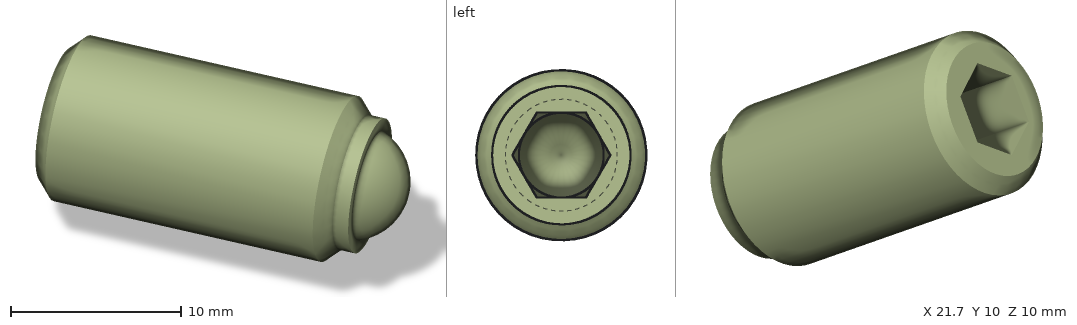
import cadquery as cq
import math

total_length = 21.7
body_diameter = 10.0
body_length = 18.42
chamfer = 0.93

collar_length = 0.95
collar_diameter = body_diameter - 2 * chamfer
ball_radius = 3.5

socket_across_flats = 5.0
socket_depth = 5.0
drill_point_angle = 120.0


def make_screw():
    """Chamfered body, collar and ball, revolved about X from one half outline."""
    body_radius = body_diameter / 2
    end_radius = body_radius - chamfer
    collar_radius = collar_diameter / 2
    collar_end = body_length + collar_length
    ball_center = total_length - ball_radius

    exit_angle = math.acos((collar_end - ball_center) / ball_radius)
    exit_radius = ball_radius * math.sin(exit_angle)
    arc_middle = (
        ball_center + ball_radius * math.cos(exit_angle / 2),
        ball_radius * math.sin(exit_angle / 2),
    )
    return (
        cq.Workplane("XY")
        .lineTo(0, end_radius)
        .lineTo(chamfer, body_radius)
        .lineTo(body_length - chamfer, body_radius)
        .lineTo(body_length, collar_radius)
        .lineTo(collar_end, collar_radius)
        .lineTo(collar_end, exit_radius)
        .threePointArc(arc_middle, (total_length, 0))
        .close()
        .revolve(360, (0, 0, 0), (1, 0, 0))
    )


def make_socket():
    """Hexagon with flats facing +Z and -Z, ending in a cone."""
    across_corners = socket_across_flats / math.cos(math.radians(30))
    hexagon = cq.Workplane("YZ").polygon(6, across_corners).extrude(socket_depth)
    cone_radius = socket_across_flats / 2
    cone_depth = cone_radius / math.tan(math.radians(drill_point_angle / 2))
    cone = (
        cq.Workplane("XY")
        .moveTo(socket_depth, 0)
        .lineTo(socket_depth + cone_depth, 0)
        .lineTo(socket_depth, cone_radius)
        .close()
        .revolve(360, (0, 0, 0), (1, 0, 0))
    )
    return hexagon.union(cone)


result = make_screw().cut(make_socket())